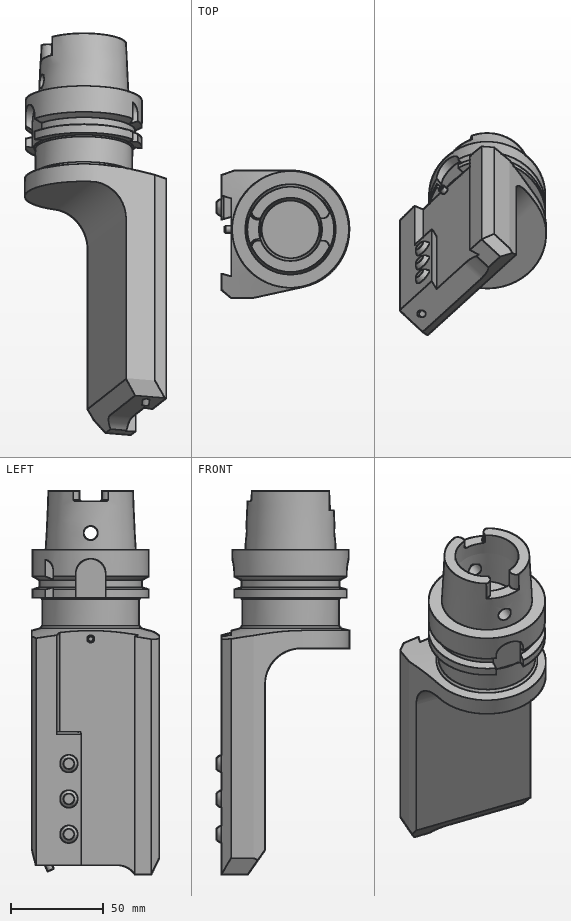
import cadquery as cq
import math


top_z = 207.0
flange_top_z = 175.2
flange_bottom_z = 149.2
neck_bottom_z = 134.3
collar_z = 132.8
plate_bottom_z = 121.9
arm_bottom_z = 5.0

shank_top_radius = 23.0
shank_base_radius = 24.5
bore_radius = 34.1 / 2
bore_step_depth = 12.8
bore_floor_radius = 15.5
cross_hole_radius = 7.5 / 2
cross_hole_z = 184.1

drive_slot_half_width = 6.0
drive_slot_corner = 3.5
drive_slot_depth_left = 5.5
drive_slot_foot = 0.8
drive_slot_depth_right = 10.3

flange_radius = 63.0 / 2
groove_radius = 27.7
groove_chamfer_top_z = 160.8
groove_top_z = 158.7
groove_bottom_z = 155.0
groove_chamfer_bottom_z = 153.7
neck_radius = 52.3 / 2
neck_shoulder_radius = 27.0
neck_shoulder_height = 0.8
collar_radius = 27.3

keyway_flat_x = 26.5
keyway_radius = 8.0
keyway_center_z = 162.2
notch_flat_x = 19.9
notch_radius = 5.8
notch_edge_y = 20.3
notch_center_z = 164.3

plate_radius = 31.9
front_x = -37.2
arm_back_x = -13.7
arm_fillet = 19.2
side_y = -37.0
side_end_x = -20.0
edge_bevel_x = 5.2
edge_bevel_y = 4.3
far_bevel_x = 7.2
far_bevel_y = 2.5
roof_angle = 15.0
roof_reach = 62.0

seat_floor_x = -32.0
seat_low_y = -23.8
seat_step_z = 77.0
seat_wide_y = 18.2
seat_narrow_y = 5.2
seat_wall_lean = 1.5
seat_chamfer = 1.2

back_bevel_x = 9.3
back_bevel_z = 13.2
side_bevel_z = 9.0
far_end_bevel_y = 2.7
far_bevel_low_z = 3.0
far_bevel_high_z = 13.7
end_recess_radius = 11.5

screw_y = 11.8
screw_top_z = 59.8
screw_pitch = 19.0
screw_count = 3
screw_radius = 9.5 / 2
screw_tip_radius = 3.0
screw_height = 2.7
screw_dome_radius = 5.2
pin_radius = 4.0 / 2
pin_z = 127.0
pin_tip_x = -35.5
pin_chamfer = 0.6
nozzle_x = -28.0
nozzle_y = 22.8
nozzle_radius = 1.9
nozzle_length = 3.0
nozzle_tilt = 25.0

embed = 2.0
margin = 10.3


def block(x0, x1, y0, y1, z0, z1):
    """Box between two opposite corners."""
    return cq.Workplane("XY").box(x1 - x0, y1 - y0, z1 - z0, centered=False).translate((x0, y0, z0))


def make_spindle():
    """Taper shank, flange with gripper groove, neck and collar, down into the plate."""
    profile = [
        (0, top_z),
        (shank_top_radius, top_z),
        (shank_base_radius, flange_top_z),
        (flange_radius, flange_top_z),
        (flange_radius, groove_chamfer_top_z),
        (groove_radius, groove_top_z),
        (groove_radius, groove_bottom_z),
        (flange_radius, groove_chamfer_bottom_z),
        (flange_radius, flange_bottom_z),
        (neck_shoulder_radius, flange_bottom_z),
        (neck_radius, flange_bottom_z - neck_shoulder_height),
        (neck_radius, neck_bottom_z),
        (collar_radius, collar_z),
        (collar_radius, plate_bottom_z + embed),
        (0, plate_bottom_z + embed),
    ]
    return cq.Workplane("XZ").polyline(profile).close().revolve(360, (0, 0), (0, 1))


def make_bore():
    """Blind bore: a straight mouth, then a slight taper down to a flat floor."""
    step_z = top_z - bore_step_depth
    profile = [
        (0, top_z),
        (bore_radius, top_z),
        (bore_radius, step_z),
        (bore_floor_radius, flange_top_z),
        (0, flange_top_z),
    ]
    return cq.Workplane("XZ").polyline(profile).close().revolve(360, (0, 0), (0, 1))


def make_drive_slot(depth):
    """Slot through the +X wall of the shank whose mouth flares out with rounded corners."""
    half = drive_slot_half_width
    corner = drive_slot_corner
    mouth_x = math.sqrt(shank_top_radius**2 - (half + corner)**2)
    wall_end_x = mouth_x - corner
    diagonal = corner * math.sqrt(0.5)
    outer_x = flange_radius
    return (
        cq.Workplane("XY", origin=(0, 0, top_z - depth))
        .moveTo(0, -half)
        .lineTo(wall_end_x, -half)
        .threePointArc((wall_end_x + diagonal, -half - corner + diagonal), (mouth_x, -half - corner))
        .lineTo(outer_x, -half - corner)
        .lineTo(outer_x, half + corner)
        .lineTo(mouth_x, half + corner)
        .threePointArc((wall_end_x + diagonal, half + corner - diagonal), (wall_end_x, half))
        .lineTo(0, half)
        .close()
        .extrude(depth + margin)
    )


def make_round_slot(inner_x, center_y, center_z, radius):
    """Round-topped slot open at +X and at the underside of the flange."""
    length = flange_radius + margin - inner_x
    arch = cq.Workplane("YZ", origin=(inner_x, center_y, center_z)).circle(radius).extrude(length)
    leg = block(inner_x, inner_x + length, center_y - radius, center_y + radius, flange_bottom_z, center_z)
    return arch.union(leg)


def make_body():
    """Plate under the spindle together with the hanging arm."""
    reach = math.hypot(side_end_x, side_y)
    tangent_angle = math.atan2(side_y, side_end_x) + math.acos(plate_radius / reach)
    tangent_point = (plate_radius * math.cos(tangent_angle), plate_radius * math.sin(tangent_angle))
    outline = (
        cq.Workplane("XY")
        .moveTo(front_x, side_y + edge_bevel_y)
        .lineTo(front_x + edge_bevel_x, side_y)
        .lineTo(side_end_x, side_y)
        .lineTo(*tangent_point)
        .threePointArc((plate_radius, 0), (0, plate_radius))
        .lineTo(front_x + far_bevel_x, plate_radius)
        .lineTo(front_x, plate_radius - far_bevel_y)
        .close()
        .extrude(collar_z)
    )
    side_profile = (
        cq.Workplane("XZ", origin=(0, 2 * plate_radius, 0))
        .moveTo(front_x, 0)
        .lineTo(arm_back_x - back_bevel_x, 0)
        .lineTo(arm_back_x, back_bevel_z)
        .lineTo(arm_back_x, plate_bottom_z - arm_fillet)
        .radiusArc((arm_back_x + arm_fillet, plate_bottom_z), arm_fillet)
        .lineTo(plate_radius, plate_bottom_z)
        .lineTo(plate_radius, collar_z)
        .lineTo(front_x, collar_z)
        .close()
        .extrude(4 * plate_radius)
    )
    roof_drop = (roof_reach - collar_radius) * math.tan(math.radians(roof_angle))
    roof = (
        cq.Workplane("XZ")
        .polyline([
            (0, -margin),
            (roof_reach, -margin),
            (roof_reach, collar_z - roof_drop),
            (collar_radius, collar_z),
            (0, collar_z),
        ])
        .close()
        .revolve(360, (0, 0), (0, 1))
    )
    return outline.intersect(side_profile).intersect(roof)


def make_seat():
    """L-shaped recess in the front face: wide above the step, narrow below it."""
    def channel(high_y, lean, bottom_z):
        return (
            cq.Workplane("XY", origin=(0, 0, bottom_z))
            .polyline([
                (front_x, seat_low_y),
                (seat_floor_x, seat_low_y - seat_wall_lean),
                (seat_floor_x, high_y + lean),
                (front_x, high_y),
            ])
            .close()
            .extrude(collar_z - bottom_z)
        )

    narrow = channel(seat_narrow_y, seat_wall_lean, 0)
    wide = channel(seat_wide_y, -seat_wall_lean, seat_step_z)
    step_chamfer = (
        cq.Workplane("XZ", origin=(0, seat_wide_y, 0))
        .polyline([
            (front_x, seat_step_z),
            (front_x, seat_step_z - seat_chamfer),
            (front_x + seat_chamfer, seat_step_z),
        ])
        .close()
        .extrude(seat_wide_y - seat_narrow_y)
    )
    return narrow.union(wide).union(step_chamfer)


def make_end_cut():
    """Trims the lower end: raised floor with a rounded rise, and bevels on both sides."""
    center_z = arm_bottom_z - end_recess_radius
    center_y = seat_low_y + math.sqrt(end_recess_radius**2 - center_z**2)
    far_y = plate_radius + margin
    recess = (
        cq.Workplane("YZ", origin=(front_x - margin, 0, 0))
        .moveTo(seat_low_y, 0)
        .radiusArc((center_y, arm_bottom_z), end_recess_radius)
        .lineTo(far_y, arm_bottom_z)
        .lineTo(far_y, -margin)
        .lineTo(seat_low_y, -margin)
        .close()
        .extrude(2 * plate_radius)
    )

    def bevel(outer_y, inner_y, low_z, high_z):
        return (
            cq.Workplane("YZ", origin=(front_x - margin, 0, 0))
            .polyline([(inner_y, low_z), (outer_y, high_z), (outer_y, low_z)])
            .close()
            .extrude(2 * plate_radius)
        )

    side = bevel(side_y, side_y + edge_bevel_y, 0, side_bevel_z)
    far = bevel(plate_radius, plate_radius - far_end_bevel_y, far_bevel_low_z, far_bevel_high_z)
    return recess.union(side).union(far)


def make_screw(z):
    """Domed clamp screw head standing on the front face."""
    return (
        cq.Workplane("XZ")
        .moveTo(front_x + embed, 0)
        .lineTo(front_x + embed, screw_radius)
        .lineTo(front_x, screw_radius)
        .radiusArc((front_x - screw_height, screw_tip_radius), -screw_dome_radius)
        .lineTo(front_x - screw_height, 0)
        .close()
        .revolve(360, (0, 0), (1, 0))
        .translate((0, screw_y, z))
    )


def make_pin():
    """Locating pin standing in the seat floor, with a chamfered tip."""
    length = seat_floor_x + embed - pin_tip_x
    return (
        cq.Workplane("YZ", origin=(pin_tip_x, 0, pin_z))
        .circle(pin_radius)
        .extrude(length)
        .faces("<X")
        .chamfer(pin_chamfer)
    )


def make_nozzle():
    """Short stub below the arm, leaning toward -Y."""
    return (
        cq.Workplane("XY", origin=(0, 0, -nozzle_length))
        .circle(nozzle_radius)
        .extrude(nozzle_length + embed)
        .rotate((0, 0, 0), (1, 0, 0), -nozzle_tilt)
        .translate((nozzle_x, nozzle_y, arm_bottom_z))
    )


def to_left(shape):
    """Turn a shape half a turn about the spindle axis, from the +X side to the -X side."""
    return shape.rotate((0, 0, 0), (0, 0, 1), 180)


spindle = make_spindle().cut(make_bore())
left_drive_slot = make_drive_slot(drive_slot_depth_left)
left_drive_slot = left_drive_slot.faces("<Z").edges("%CIRCLE or |X").chamfer(drive_slot_foot)
spindle = spindle.cut(to_left(left_drive_slot))
spindle = spindle.cut(make_drive_slot(drive_slot_depth_right))
cross_hole = (
    cq.Workplane("YZ", origin=(-flange_radius, 0, cross_hole_z))
    .circle(cross_hole_radius)
    .extrude(2 * flange_radius)
)
spindle = spindle.cut(cross_hole)
keyway = make_round_slot(keyway_flat_x, 0, keyway_center_z, keyway_radius)
spindle = spindle.cut(keyway).cut(to_left(keyway))
notch = make_round_slot(notch_flat_x, -notch_edge_y - notch_radius, notch_center_z, notch_radius)
spindle = spindle.cut(to_left(notch))

body = make_body().cut(make_seat()).cut(make_end_cut())

result = spindle.union(body)
for index in range(screw_count):
    result = result.union(make_screw(screw_top_z - index * screw_pitch))
result = result.union(make_pin()).union(make_nozzle())